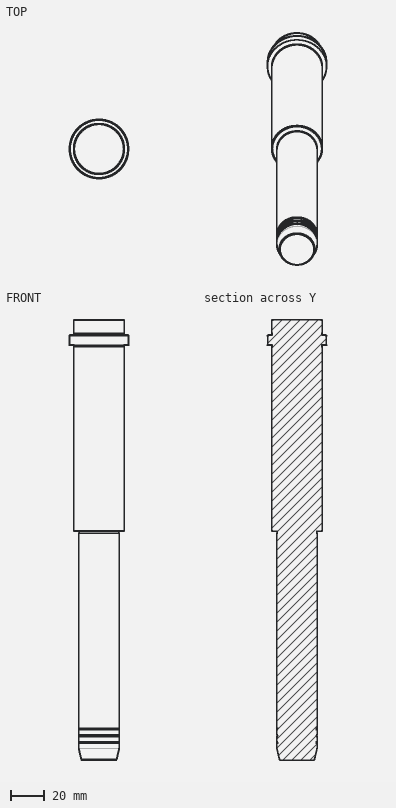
import cadquery as cq

total_length = 260.0
head_height = 9.0
collar_height = 6.0
shank_length = 110.0
collar_top = total_length - head_height
collar_bottom = collar_top - collar_height
shank_bottom = collar_bottom - shank_length

collar_radius = 35.0 / 2
shank_radius = 30.0 / 2
guide_radius = 24.0 / 2
tip_radius = 21.0 / 2

edge_chamfer = 0.5

relief_width = 1.0
relief_depth = 0.3

lead_in_height = 7.0
groove_count = 3
groove_pitch = 4.0
groove_width = 1.0
groove_depth = 0.5
lowest_groove_z = 10.5


def make_stepped_pin():
    """Solid of revolution: guide pin, thicker shank, collar and head."""
    profile = (
        cq.Workplane("XZ")
        .moveTo(0, 0)
        .lineTo(tip_radius - edge_chamfer, 0)
        .lineTo(tip_radius, edge_chamfer)
        .lineTo(guide_radius, lead_in_height)
        .lineTo(guide_radius, shank_bottom)
        .lineTo(shank_radius - edge_chamfer, shank_bottom)
        .lineTo(shank_radius, shank_bottom + edge_chamfer)
        .lineTo(shank_radius, collar_bottom)
        .lineTo(collar_radius, collar_bottom)
        .lineTo(collar_radius, collar_top - edge_chamfer)
        .lineTo(collar_radius - edge_chamfer, collar_top)
        .lineTo(shank_radius, collar_top)
        .lineTo(shank_radius, total_length - edge_chamfer)
        .lineTo(shank_radius - edge_chamfer, total_length)
        .lineTo(0, total_length)
        .close()
    )
    return profile.revolve(360, (0, 0, 0), (0, 1, 0))


def make_relief_cutter(surface_radius, bottom_z):
    """Ring that cuts a shallow square relief into a cylinder of the given radius."""
    return (
        cq.Workplane("XY", origin=(0, 0, bottom_z))
        .circle(surface_radius)
        .circle(surface_radius - relief_depth)
        .extrude(relief_width)
    )


def make_v_groove_cutter(center_z):
    """Ring of triangular section that cuts one V-groove into the guide pin."""
    section = (
        cq.Workplane("XZ")
        .moveTo(guide_radius, center_z - groove_width / 2)
        .lineTo(guide_radius, center_z + groove_width / 2)
        .lineTo(guide_radius - groove_depth, center_z)
        .close()
    )
    return section.revolve(360, (0, 0, 0), (0, 1, 0))


result = make_stepped_pin()

result = result.cut(make_relief_cutter(shank_radius, collar_top))
result = result.cut(make_relief_cutter(shank_radius, collar_bottom - relief_width))
result = result.cut(make_relief_cutter(guide_radius, shank_bottom - relief_width))

for index in range(groove_count):
    result = result.cut(make_v_groove_cutter(lowest_groove_z + index * groove_pitch))